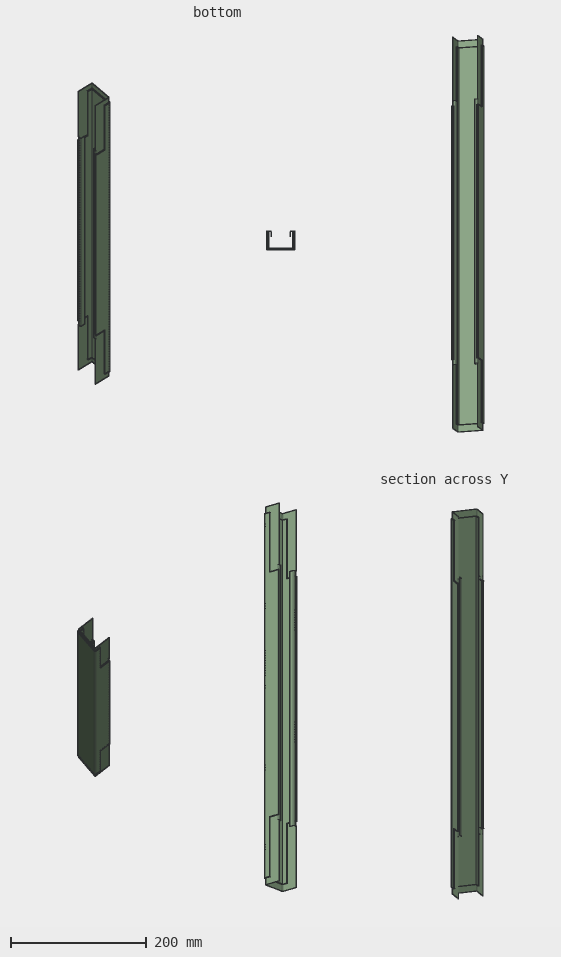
import cadquery as cq

WIDTH = 42.0
DEPTH = 28.5
LENGTH = 592.5
BACK_Y = DEPTH / 2
FRONT_Y = -DEPTH / 2

PANEL_THICKNESS = 1.4
SHEET_THICKNESS = 0.7
SHEET_OUTER_INSET = PANEL_THICKNESS
SHEET_INNER_INSET = SHEET_OUTER_INSET + SHEET_THICKNESS
WALL_THICKNESS = SHEET_INNER_INSET + PANEL_THICKNESS
BACK_CORNER_RADIUS = 2.5

PANEL_END_MARGIN = 10.5
SHOULDER_DEPTH = 10.5
SHOULDER_LENGTH = LENGTH - 2 * PANEL_END_MARGIN
TAB_LENGTH = 384.0

LIP_LENGTH = 400.0
LIP_REACH = 5.6
LIP_DEPTH = 8.0
FOLD_RADIUS = 1.5


def block(width, depth, length, back_y):
    """Box centred on X and Z whose back face lies at back_y."""
    return cq.Workplane("XY").box(width, depth, length).translate((0, back_y - depth / 2, 0))


def rounded_back(width, depth, length, back_y, radius):
    """Block whose two long back edges are rounded when the radius is above zero."""
    body = block(width, depth, length, back_y)
    if radius > 0:
        body = body.edges("|Z and >Y").fillet(radius)
    return body


def u_section(outer_inset, inner_inset, depth, length):
    """U open toward -Y, between two insets from the envelope, reaching depth from the back of the envelope.

    The back corners are concentric where their radius is above zero, and square otherwise.
    """
    outer = rounded_back(
        WIDTH - 2 * outer_inset,
        depth - outer_inset,
        length,
        BACK_Y - outer_inset,
        BACK_CORNER_RADIUS - outer_inset,
    )
    cavity = rounded_back(
        WIDTH - 2 * inner_inset,
        DEPTH,
        length,
        BACK_Y - inner_inset,
        BACK_CORNER_RADIUS - inner_inset,
    )
    return outer.cut(cavity)


def make_lip(side):
    """Return lip of one leg, with two rounded folds; side is -1 or +1 along X."""
    centre_x = side * (WIDTH / 2 - SHEET_OUTER_INSET - LIP_REACH / 2)
    outer = block(LIP_REACH, LIP_DEPTH, LIP_LENGTH, FRONT_Y + LIP_DEPTH)
    outer = outer.edges("|Z and <Y").fillet(FOLD_RADIUS)
    cavity_width = LIP_REACH - 2 * SHEET_THICKNESS
    cavity = block(cavity_width, LIP_DEPTH, LIP_LENGTH, FRONT_Y + LIP_DEPTH + SHEET_THICKNESS)
    cavity = cavity.edges("|Z and <Y").fillet(FOLD_RADIUS - SHEET_THICKNESS)
    return outer.cut(cavity).translate((centre_x, 0, 0))


def make_channel():
    """Full-length sheet-metal U with a return lip along the middle of each front edge."""
    channel = u_section(SHEET_OUTER_INSET, SHEET_INNER_INSET, DEPTH, LENGTH)
    channel = channel.cut(block(WIDTH, FOLD_RADIUS, LIP_LENGTH, FRONT_Y + FOLD_RADIUS))
    for side in (-1, 1):
        channel = channel.union(make_lip(side))
    return channel


def make_panel(outer_inset, inner_inset, tab_depth):
    """Panel wrapped along one face of the channel, with a tab on each side."""
    shoulder = u_section(outer_inset, inner_inset, SHOULDER_DEPTH, SHOULDER_LENGTH)
    tab = u_section(outer_inset, inner_inset, tab_depth, TAB_LENGTH)
    return shoulder.union(tab)


channel = make_channel()
outer_panel = make_panel(0, SHEET_OUTER_INSET, DEPTH)
inner_panel = make_panel(SHEET_INNER_INSET, WALL_THICKNESS, DEPTH - FOLD_RADIUS)

result = cq.Compound.makeCompound([channel.val(), outer_panel.val(), inner_panel.val()])